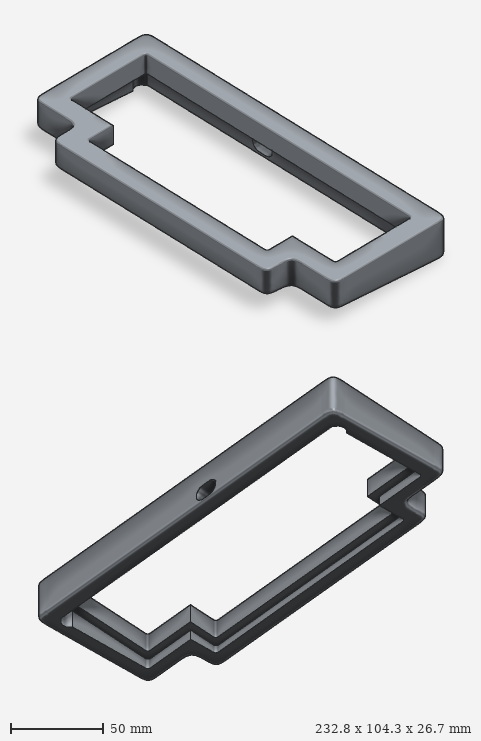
import cadquery as cq
import math

width = 232.8
depth = 104.3
back_height = 27.0
underside_slope = 5.0

step_inset = 33.3
step_depth = 85.2
corner_length = 9.0
corner_handle = 3.5
top_edge_radius = 1.28
bottom_edge_radius = 3.0

rim_width = 14.0
opening_corner_radius = 1.5
wall_thickness = 9.3
rebate_corner_radius = 1.98
rim_thickness = 13.5

relief_radius = 5.1
relief_wall = 7.0
relief_distance = 15.0

slot_length = 15.1
slot_height = 10.0
slot_offset = -17.2
slot_drop = 19.5

cut_height = 2 * back_height
selection_margin = 0.2


def stepped_outline(inset):
    """Corner points of the stepped outline, moved inward by inset."""
    half_rear = width / 2 - inset
    half_front = width / 2 - step_inset - inset
    back = -inset
    shoulder = inset - step_depth
    front = inset - depth
    return [
        (-half_rear, back),
        (half_rear, back),
        (half_rear, shoulder),
        (half_front, shoulder),
        (half_front, front),
        (-half_front, front),
        (-half_front, shoulder),
        (-half_rear, shoulder),
    ]


def sharp_prism(inset):
    """Prism with sharp upright edges, hanging down from z = 0."""
    return cq.Workplane("XY").polyline(stepped_outline(inset)).close().extrude(-cut_height)


def toward(start, end, distance):
    """Point at a distance from start on the way to end."""
    share = distance / math.dist(start, end)
    return (start[0] + share * (end[0] - start[0]), start[1] + share * (end[1] - start[1]))


def blended_prism():
    """Prism of the outer outline; each corner eases in and out of its straight sides."""
    corners = stepped_outline(0)
    start = toward(corners[-1], corners[0], corner_length)
    sketch = cq.Workplane("XY").moveTo(*start)
    for index, corner in enumerate(corners):
        before = corners[index - 1]
        after = corners[(index + 1) % len(corners)]
        curve = [
            toward(corner, before, corner_length),
            toward(corner, before, corner_handle),
            corner,
            toward(corner, after, corner_handle),
            toward(corner, after, corner_length),
        ]
        sketch = sketch.lineTo(*curve[0]).bezier(curve)
    return sketch.close().extrude(-cut_height)


def convex_corners(inset):
    """Selector for upright edges of all corners but the two at the step."""
    half_front = width / 2 - step_inset - inset
    shoulder = inset - step_depth
    shoulder_corners = cq.selectors.BoxSelector(
        (-half_front - selection_margin, shoulder - selection_margin, -cut_height),
        (half_front + selection_margin, shoulder + selection_margin, cut_height),
    )
    return cq.selectors.SubtractSelector(cq.selectors.StringSyntaxSelector("|Z"), shoulder_corners)


def wedge_body():
    """Solid block with rounded corners, sloping underside and rounded outer edges."""
    front_height = back_height - depth * math.tan(math.radians(underside_slope))
    side_profile = [(0, 0), (-depth, 0), (-depth, -front_height), (0, -back_height)]
    wedge = cq.Workplane("YZ").polyline(side_profile).close().extrude(width / 2, both=True)
    block = blended_prism().intersect(wedge)
    block = block.faces("<Z").edges().fillet(bottom_edge_radius)
    return block.faces(">Z").edges().fillet(top_edge_radius)


def opening():
    """Cutter for the opening; its corners at the step stay sharp."""
    prism = sharp_prism(rim_width)
    return prism.edges(convex_corners(rim_width)).fillet(opening_corner_radius)


def rebate():
    """Cutter that thins the walls below the rim, with the round side reliefs."""
    prism = sharp_prism(wall_thickness)
    prism = prism.edges(convex_corners(wall_thickness)).fillet(rebate_corner_radius)
    relief_x = width / 2 - relief_wall - relief_radius
    reliefs = (
        cq.Workplane("XY")
        .pushPoints([(-relief_x, -relief_distance), (relief_x, -relief_distance)])
        .circle(relief_radius)
        .extrude(-cut_height)
    )
    return prism.union(reliefs).translate((0, 0, -rim_thickness))


def cable_slot():
    """Cutter for the round-ended slot through the back wall."""
    return (
        cq.Workplane("XZ")
        .center(slot_offset, -slot_drop)
        .slot2D(slot_length, slot_height)
        .extrude(rim_width)
    )


def round_opening_rim(frame):
    """Round the inner edge of the top face."""
    inner_rim = cq.selectors.BoxSelector(
        (-width / 2 + wall_thickness, wall_thickness - depth, -selection_margin),
        (width / 2 - wall_thickness, -wall_thickness, selection_margin),
    )
    return frame.edges(inner_rim).fillet(top_edge_radius)


frame = wedge_body().cut(opening())
frame = round_opening_rim(frame)
result = frame.cut(rebate()).cut(cable_slot())